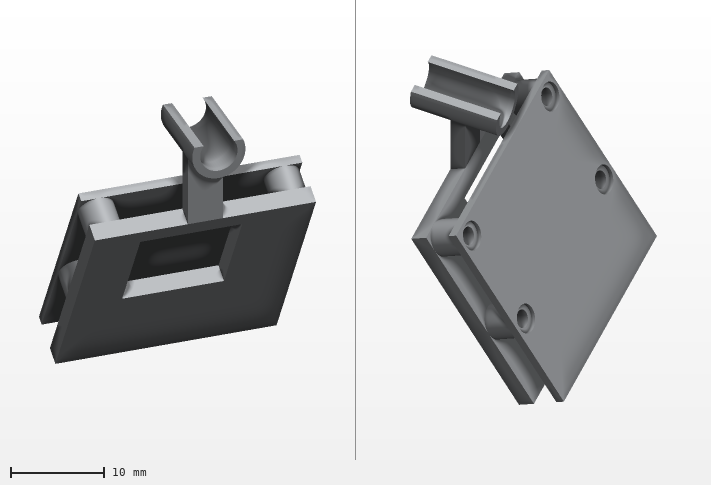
import cadquery as cq
import math

TILT = 30
PLATE_SIZE = 25.0
BACK_THICKNESS = 2.0
COVER_THICKNESS = 1.0
GAP = 3.0

STANDOFF_DIA = 4.0
SCREW_DIA = 2.0
HEAD_DIA = 3.2
HEAD_DEPTH = 0.5
ROW_PITCH = 12.5
SCREW_SPAN = 21.0
FIRST_ROW = STANDOFF_DIA / 2

WINDOW_TOP = 2.0
WINDOW_Y_MIN = -7.0
WINDOW_Y_MAX = 4.5
WINDOW_SIZE = WINDOW_Y_MAX - WINDOW_Y_MIN

ARM_WIDTH = 4.0
CLIP_OUTER_DIA = 6.0
CLIP_INNER_DIA = 4.2
CLIP_LENGTH = 10.0
CLIP_END_X = 4.25
CLIP_TOP = 11.72
CLIP_OPENING_HEIGHT = 1.2

COVER_BACK = BACK_THICKNESS + GAP
COVER_FRONT = COVER_BACK + COVER_THICKNESS
CLIP_AXIS_Z = CLIP_TOP - CLIP_OPENING_HEIGHT
ARM_THICKNESS = BACK_THICKNESS * math.cos(math.radians(TILT))
ARM_FOOT_RISE = BACK_THICKNESS * math.sin(math.radians(TILT))
SCREW_POINTS = [
    (-FIRST_ROW - row * ROW_PITCH, side * SCREW_SPAN / 2) for row in (0, 1) for side in (-1, 1)
]


def plate_plane(height):
    """Plane parallel to the plates: local x runs up the slope, local z points out of the front."""
    tilt = math.radians(TILT)
    normal = cq.Vector(-math.cos(tilt), 0, math.sin(tilt))
    up_slope = cq.Vector(math.sin(tilt), 0, math.cos(tilt))
    return cq.Plane(origin=normal * height, xDir=up_slope, normal=normal)


def square_plate(height, thickness):
    slab = cq.Workplane(plate_plane(height)).center(-PLATE_SIZE / 2, 0)
    return slab.rect(PLATE_SIZE, PLATE_SIZE).extrude(thickness)


def cylinders(diameter, height, length):
    """One cylinder at every screw position."""
    return cq.Workplane(plate_plane(height)).pushPoints(SCREW_POINTS).circle(diameter / 2).extrude(length)


def make_window():
    middle_y = (WINDOW_Y_MIN + WINDOW_Y_MAX) / 2
    window = cq.Workplane(plate_plane(0)).center(-WINDOW_TOP - WINDOW_SIZE / 2, middle_y)
    return window.rect(WINDOW_SIZE, WINDOW_SIZE).extrude(BACK_THICKNESS)


def make_arm():
    """Upright arm whose sloping foot covers the top edge face of the back plate."""
    outline = [
        (0, 0),
        (0, CLIP_AXIS_Z),
        (-ARM_THICKNESS, CLIP_AXIS_Z),
        (-ARM_THICKNESS, ARM_FOOT_RISE),
    ]
    return cq.Workplane("XZ").polyline(outline).close().extrude(ARM_WIDTH / 2, both=True)


def clip_cylinder(diameter):
    start = CLIP_END_X - CLIP_LENGTH
    return cq.Workplane("YZ", origin=(start, 0, CLIP_AXIS_Z)).circle(diameter / 2).extrude(CLIP_LENGTH)


def make_clip_with_arm():
    clip_opening = cq.Workplane("XY", origin=(CLIP_END_X - CLIP_LENGTH / 2, 0, CLIP_TOP)).box(
        CLIP_LENGTH, CLIP_OUTER_DIA, CLIP_OUTER_DIA, centered=(True, True, False)
    )
    holder = make_arm().union(clip_cylinder(CLIP_OUTER_DIA))
    return holder.cut(clip_cylinder(CLIP_INNER_DIA)).cut(clip_opening)


def make_bracket():
    """Back plate with its window, arm and clip."""
    bracket = square_plate(0, BACK_THICKNESS).cut(make_window())
    return bracket.union(make_clip_with_arm())


def make_cover():
    """Thin front plate on standoffs, with counterbored screw holes running through both."""
    cover = square_plate(COVER_BACK, COVER_THICKNESS)
    cover = cover.union(cylinders(STANDOFF_DIA, BACK_THICKNESS, GAP))
    cover = cover.cut(cylinders(SCREW_DIA, BACK_THICKNESS, GAP + COVER_THICKNESS))
    return cover.cut(cylinders(HEAD_DIA, COVER_FRONT - HEAD_DEPTH, HEAD_DEPTH))


bracket = make_bracket()
cover = make_cover()

result = cq.Compound.makeCompound([bracket.val(), cover.val()])